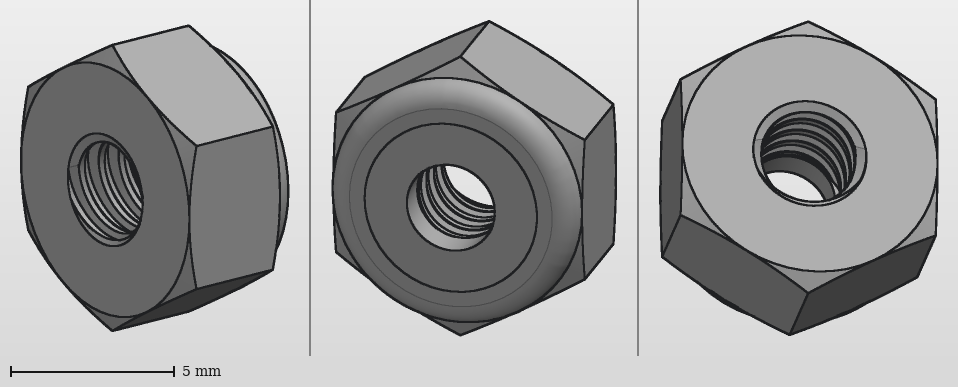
import cadquery as cq
import math

corner_width = 9.17
flat_width = corner_width * math.cos(math.radians(30))
flat_radius = flat_width / 2
corner_radius = corner_width / 2
total_height = 4.37
collar_height = 0.73
hex_height = total_height - collar_height
chamfer_angle = 25.0

major_radius = 1.76
minor_radius = 1.47
thread_depth = major_radius - minor_radius
pitch = 0.8
groove_tilt = 13.0
root_width = 0.22
flank_angle = 30.0
first_groove = -0.05
flank_height = thread_depth * math.tan(math.radians(flank_angle))

countersink_angle = 27.0
countersink_depth = thread_depth * math.tan(math.radians(countersink_angle))

insert_height = 1.1
insert_radius = 2.75
insert_bore_radius = 1.4
insert_start = total_height - insert_height


def revolve_profile(points):
    """Revolve a closed (radius, Y) outline about the Y axis."""
    return cq.Workplane("XY").polyline(points).close().revolve(360, (0, 0, 0), (0, 1, 0))


def make_hexagon():
    """Hexagonal prism with points up and down, its corners chamfered at both ends."""
    prism = (
        cq.Workplane("XZ")
        .polygon(6, corner_width)
        .extrude(-hex_height)
        .rotate((0, 0, 0), (0, 1, 0), 30)
    )
    chamfer_height = (corner_radius - flat_radius) * math.tan(math.radians(chamfer_angle))
    envelope = revolve_profile([
        (0, 0),
        (flat_radius, 0),
        (corner_radius, chamfer_height),
        (corner_radius, hex_height - chamfer_height),
        (flat_radius, hex_height),
        (0, hex_height),
    ])
    return prism.intersect(envelope)


def make_collar():
    """Round collar whose outer edge is fully rounded over."""
    arc_centre = flat_radius - collar_height
    rounding = collar_height * math.sqrt(0.5)
    profile = (
        cq.Workplane("XY")
        .moveTo(0, hex_height)
        .lineTo(flat_radius, hex_height)
        .threePointArc((arc_centre + rounding, hex_height + rounding), (arc_centre, total_height))
        .lineTo(0, total_height)
        .close()
    )
    return profile.revolve(360, (0, 0, 0), (0, 1, 0))


def make_groove(position):
    """Cutter for one V groove, tilted about X so its upper side leans to the bearing face."""
    half_root = root_width / 2
    half_mouth = half_root + flank_height
    cutter = revolve_profile([
        (0, -half_mouth),
        (minor_radius, -half_mouth),
        (major_radius, -half_root),
        (major_radius, half_root),
        (minor_radius, half_mouth),
        (0, half_mouth),
    ])
    return cutter.rotate((0, 0, 0), (1, 0, 0), groove_tilt).translate((0, position, 0))


def make_nut():
    """Hexagon and collar with the countersunk threaded bore and the ring recess."""
    nut = make_hexagon().union(make_collar())
    bore = cq.Workplane("XZ").circle(minor_radius).extrude(-total_height)
    countersink = revolve_profile([(0, 0), (major_radius, 0), (minor_radius, countersink_depth),
                                   (0, countersink_depth)])
    nut = nut.cut(bore).cut(countersink)
    groove_count = int((insert_start - first_groove) / pitch) + 1
    for index in range(groove_count):
        nut = nut.cut(make_groove(first_groove + index * pitch))
    recess = cq.Workplane("XZ", origin=(0, insert_start, 0)).circle(insert_radius).extrude(-insert_height)
    return nut.cut(recess)


def make_insert():
    """Plain locking ring filling the recess in the collar end."""
    return (
        cq.Workplane("XZ", origin=(0, insert_start, 0))
        .circle(insert_radius)
        .circle(insert_bore_radius)
        .extrude(-insert_height)
    )


nut = make_nut()
insert = make_insert()
result = cq.Compound.makeCompound([nut.val(), insert.val()])